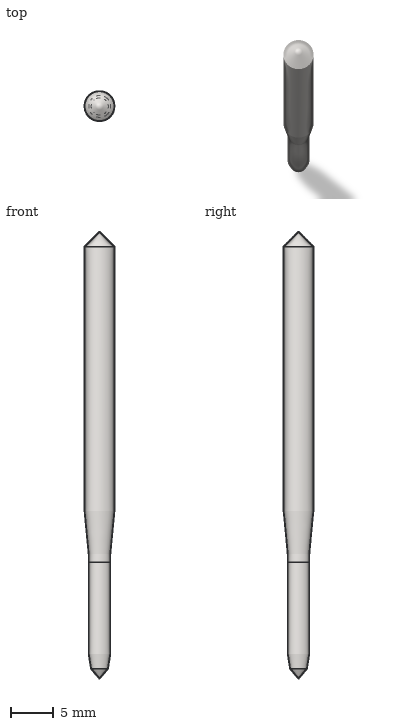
import cadquery as cq

overall_length = 53.11

shank_radius = 1.79
point_height = shank_radius
taper_length = 5.1
neck_length = 0.96
neck_radius = 1.3

tip_body_length = 10.9
tip_taper_length = 1.76
tip_point_height = 1.2
tip_point_radius = 1.02

tip_point_top = tip_point_height
tip_taper_top = tip_point_top + tip_taper_length
joint_level = tip_taper_top + tip_body_length
neck_top = joint_level + neck_length
taper_top = neck_top + taper_length
shank_top = overall_length - point_height


def turned(profile):
    """Revolve a closed (radius, height) half-profile about the Z axis."""
    return cq.Workplane("XZ").polyline(profile).close().revolve(360, (0, 0, 0), (0, 1, 0))


def make_shank():
    return turned([
        (0, joint_level),
        (neck_radius, joint_level),
        (neck_radius, neck_top),
        (shank_radius, taper_top),
        (shank_radius, shank_top),
        (0, overall_length),
    ])


def make_tip():
    return turned([
        (0, 0),
        (tip_point_radius, tip_point_top),
        (neck_radius, tip_taper_top),
        (neck_radius, joint_level),
        (0, joint_level),
    ])


shank = make_shank()
tip = make_tip()

result = cq.Compound.makeCompound([shank.val(), tip.val()])